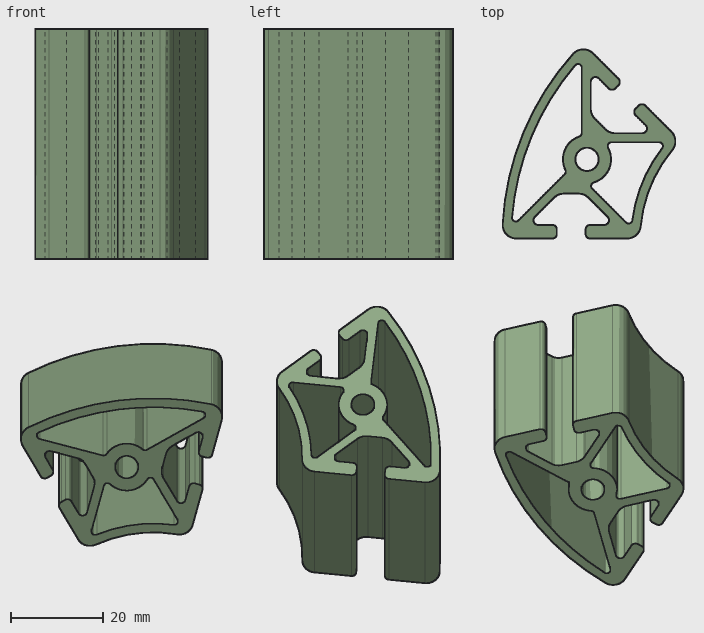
import math

import cadquery as cq

LENGTH = 50.0
OUTER_RADIUS = 60.0
INNER_RADIUS = 30.0
SECTOR_ANGLE = 45.0
HALF_ANGLE = SECTOR_ANGLE / 2
MID_DIRECTION = 180.0 - HALF_ANGLE
MID_RADIUS = (OUTER_RADIUS + INNER_RADIUS) / 2
CORNER_ROUND = 3.0

BORE_DIAMETER = 5.0
HUB_DIAMETER = 10.5

THROAT_WIDTH = 6.2
LIP_THICKNESS = 3.0
GROOVE_DEPTH = 9.75
GROOVE_APEX_DEPTH = 12.6
THROAT_OVERCUT = 1.0
LIP_ROUND = 1.0
GROOVE_END_ROUND = 1.0
GROOVE_FLOOR_ROUND = 3.0

WALL_THICKNESS = 2.0
WEB_THICKNESS = 2.0
CHAMBER_ROUND = 0.8
CHAMBER_APEX_DEPTH = GROOVE_APEX_DEPTH + WEB_THICKNESS * math.sqrt(2)


def polar(radius, angle):
    """Point at a radius and an angle in degrees, with X along the sector's line of symmetry."""
    return radius * math.cos(math.radians(angle)), radius * math.sin(math.radians(angle))


def cylinder(radius, x=0.0):
    return cq.Workplane("XY").center(x, 0).circle(radius).extrude(LENGTH)


def prism(points):
    return cq.Workplane("XY").polyline(points).close().extrude(LENGTH)


def sector_body():
    """Solid ring sector, symmetric about the X axis, with rounded corners."""
    body = (
        cq.Workplane("XY")
        .moveTo(*polar(INNER_RADIUS, -HALF_ANGLE))
        .lineTo(*polar(OUTER_RADIUS, -HALF_ANGLE))
        .threePointArc((OUTER_RADIUS, 0), polar(OUTER_RADIUS, HALF_ANGLE))
        .lineTo(*polar(INNER_RADIUS, HALF_ANGLE))
        .threePointArc((INNER_RADIUS, 0), polar(INNER_RADIUS, -HALF_ANGLE))
        .close()
        .extrude(LENGTH)
    )
    return body.edges("|Z").fillet(CORNER_ROUND)


def groove():
    """T-groove cutter opening at the face y = 0 and going in along +Y, centred on x = MID_RADIUS."""
    half_throat = THROAT_WIDTH / 2
    half_end = GROOVE_APEX_DEPTH - LIP_THICKNESS
    half_floor = GROOVE_APEX_DEPTH - GROOVE_DEPTH
    right_side = [
        (half_throat, -THROAT_OVERCUT),
        (half_throat, LIP_THICKNESS),
        (half_end, LIP_THICKNESS),
        (half_floor, GROOVE_DEPTH),
    ]
    left_side = [(-x, y) for x, y in reversed(right_side)]
    cutter = prism(right_side + left_side)

    def upright_edges(half_width, depth):
        nearest = cq.selectors.NearestToPointSelector
        picked = cutter.edges(nearest((half_width, depth, LENGTH / 2)))
        return picked.add(cutter.edges(nearest((-half_width, depth, LENGTH / 2))))

    for half_width, depth, radius in [
        (half_throat, LIP_THICKNESS, LIP_ROUND),
        (half_end, LIP_THICKNESS, GROOVE_END_ROUND),
        (half_floor, GROOVE_DEPTH, GROOVE_FLOOR_ROUND),
    ]:
        cutter = upright_edges(half_width, depth).fillet(radius)
    return cutter.translate((MID_RADIUS, 0, 0))


def cut_grooves(body):
    lower = groove().rotate((0, 0, 0), (0, 0, 1), -HALF_ANGLE)
    return body.cut(lower).cut(lower.mirror("XZ"))


def round_lip_mouths(body):
    """Round the outer lip edges where each throat meets its flat face."""
    for side in (-1, 1):
        for offset in (-THROAT_WIDTH / 2, THROAT_WIDTH / 2):
            x, y = polar(MID_RADIUS + offset, side * HALF_ANGLE)
            mouth = cq.selectors.NearestToPointSelector((x, y, LENGTH / 2))
            body = body.edges(mouth).fillet(LIP_ROUND)
    return body


def outer_chamber():
    """Chamber between the outer wall, the two outer webs and the hub."""
    web_foot = MID_RADIUS + CHAMBER_APEX_DEPTH
    foot_x, foot_y = polar(web_foot, HALF_ANGLE)
    apex_x = foot_x - foot_y * math.tan(math.radians(HALF_ANGLE))
    beyond_wall = 2 * OUTER_RADIUS
    wedge = prism([(apex_x, 0), (foot_x, -foot_y), (beyond_wall, 0), (foot_x, foot_y)])
    chamber = wedge.intersect(cylinder(OUTER_RADIUS - WALL_THICKNESS))
    chamber = chamber.cut(cylinder(HUB_DIAMETER / 2, MID_RADIUS))
    return chamber.edges("|Z").fillet(CHAMBER_ROUND)


def inner_chamber():
    """Chamber between the inner wall, the two inner webs and the hub."""
    web_foot = MID_RADIUS - CHAMBER_APEX_DEPTH
    foot_x, foot_y = polar(web_foot, HALF_ANGLE)
    hub_y = foot_y - (MID_RADIUS - foot_x) * math.tan(math.radians(HALF_ANGLE))
    wedge = prism([(foot_x, -foot_y), (MID_RADIUS, -hub_y), (MID_RADIUS, hub_y), (foot_x, foot_y)])
    chamber = wedge.cut(cylinder(INNER_RADIUS + WALL_THICKNESS))
    chamber = chamber.cut(cylinder(HUB_DIAMETER / 2, MID_RADIUS))
    return chamber.edges("|Z").fillet(CHAMBER_ROUND)


profile = round_lip_mouths(cut_grooves(sector_body()))
profile = profile.cut(outer_chamber()).cut(inner_chamber())
profile = profile.cut(cylinder(BORE_DIAMETER / 2, MID_RADIUS))

result = profile.rotate((0, 0, 0), (0, 0, 1), MID_DIRECTION)